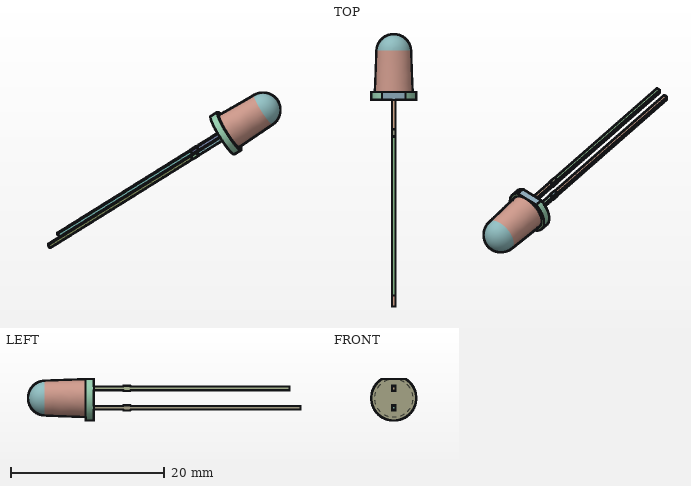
import cadquery as cq
import math

flange_radius = 2.95
flange_thickness = 1.05
flat_height = 2.5

lens_base_radius = 2.5
dome_radius = 2.3
lens_height = 8.6

lead_width = 0.5
lead_pitch = 2.54
long_lead_length = 27.0
short_lead_length = 25.55

stop_width = 0.7
stop_start = 3.8
stop_length = 1.05
stop_ramp = 0.1


def make_flange():
    """Disc with one flat on its +Z side."""
    disc = cq.Workplane("XZ").circle(flange_radius).extrude(-flange_thickness)
    keep_height = flange_radius + flat_height
    keep = (
        cq.Workplane("XY")
        .box(2 * flange_radius, flange_thickness, keep_height, centered=(True, False, False))
        .translate((0, 0, -flange_radius))
    )
    return disc.intersect(keep)


def make_lens():
    """Tapered body that runs tangentially into a spherical dome."""
    dome_center = lens_height - dome_radius
    rise = dome_center - flange_thickness
    corner_distance = math.hypot(lens_base_radius, rise)
    corner_angle = math.atan2(rise, lens_base_radius)
    tangent_angle = math.acos(dome_radius / corner_distance) - corner_angle
    mid_angle = (tangent_angle + math.pi / 2) / 2

    def dome_point(angle):
        return (dome_center + dome_radius * math.sin(angle), dome_radius * math.cos(angle))

    return (
        cq.Workplane("YZ")
        .moveTo(0, 0)
        .lineTo(0, lens_base_radius)
        .lineTo(flange_thickness, lens_base_radius)
        .lineTo(*dome_point(tangent_angle))
        .threePointArc(dome_point(mid_angle), (lens_height, 0))
        .close()
        .revolve(360, (0, 0), (1, 0))
    )


def make_lead(length, z_center):
    """Square wire with a bulge in Z that sets the stand-off from the board."""
    half_wire = lead_width / 2
    half_stop = stop_width / 2
    stop_end = stop_start + stop_length
    upper_side = [
        (0, half_wire),
        (-stop_start, half_wire),
        (-stop_start - stop_ramp, half_stop),
        (-stop_end + stop_ramp, half_stop),
        (-stop_end, half_wire),
        (-length, half_wire),
    ]
    lower_side = [(y, -z) for y, z in reversed(upper_side)]
    return (
        cq.Workplane("YZ")
        .polyline(upper_side + lower_side)
        .close()
        .extrude(half_wire, both=True)
        .translate((0, 0, z_center))
    )


result = (
    make_flange()
    .union(make_lens())
    .union(make_lead(short_lead_length, lead_pitch / 2))
    .union(make_lead(long_lead_length, -lead_pitch / 2))
)